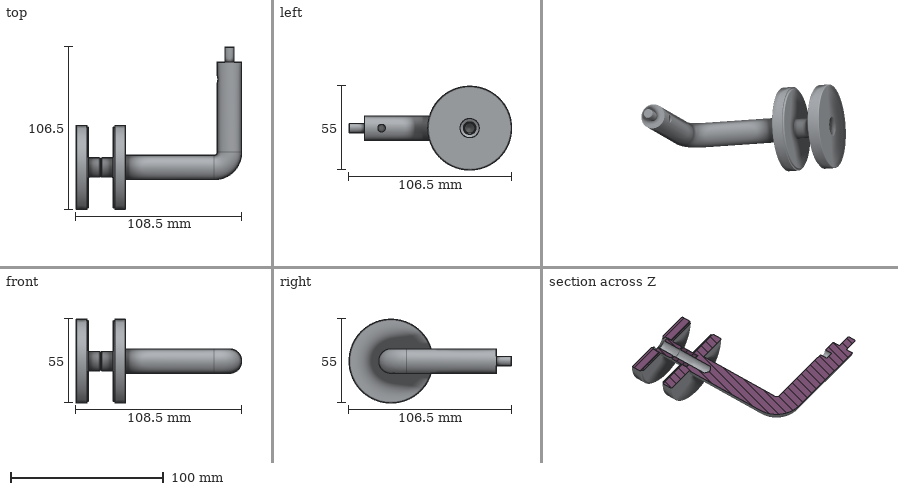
import cadquery as cq
import math

arm_radius = 8.0
bend_radius = 10.0
arm_reach = 108.5 - arm_radius
arm_end_y = 69.0
pin_radius = 3.0
pin_length = 10.0
pin_chamfer = 0.3
cross_hole_radius = 2.5
cross_hole_setback = 11.3
cross_hole_depth = 5.0

disc_diameter = 55.0
disc_radius = disc_diameter / 2
disc_thickness = 7.0
disc_edge_fillet = 0.5
clamp_length = 32.4

gasket_radius = 26.5
gasket_thickness = 1.1
gasket_edge_fillet = 0.5
sleeve_radius = 6.4
sleeve_gap = 0.5
sleeve_end_fillet = 1.0
sleeve_root_fillet = 0.4

countersink_radius = 6.3
countersink_depth = 1.7
screw_hole_radius = 4.1
plug_start_x = 3.5
bore_radius = 3.4
bore_end_x = 41.2
drill_point_angle = 118.0

inner_disc_x = clamp_length - disc_thickness
sleeve_end_x = (clamp_length - sleeve_gap) / 2


def x_cylinder(radius, start_x, end_x):
    """Cylinder on the X axis between two X positions."""
    return cq.Workplane("YZ", origin=(start_x, 0, 0)).circle(radius).extrude(end_x - start_x)


def make_cover_disc():
    """Outer disc with a countersunk hole and a socket for the gasket plug."""
    disc = x_cylinder(disc_radius, 0, disc_thickness).faces("<X").edges().fillet(disc_edge_fillet)
    countersink = (
        cq.Workplane("XY")
        .moveTo(0, 0)
        .lineTo(0, countersink_radius)
        .lineTo(countersink_depth, screw_hole_radius)
        .lineTo(countersink_depth, 0)
        .close()
        .revolve(360, (0, 0, 0), (1, 0, 0))
    )
    socket = x_cylinder(sleeve_radius, countersink_depth, disc_thickness)
    return disc.cut(countersink).cut(socket)


def make_gasket():
    """Washer on the cover disc with a plug pointing to -X and a sleeve pointing to +X."""
    face_x = disc_thickness + gasket_thickness
    washer = x_cylinder(gasket_radius, disc_thickness, face_x)
    sleeve = x_cylinder(sleeve_radius, face_x, sleeve_end_x)
    gasket = washer.union(sleeve)
    sleeve_rims = gasket.edges("%CIRCLE").edges(cq.selectors.RadiusNthSelector(0))
    gasket = sleeve_rims.edges("<X").fillet(sleeve_root_fillet)
    washer_rims = gasket.edges("%CIRCLE").edges(cq.selectors.RadiusNthSelector(-1))
    gasket = washer_rims.edges(">X").fillet(gasket_edge_fillet)
    gasket = gasket.faces(">X").edges().fillet(sleeve_end_fillet)
    plug = x_cylinder(sleeve_radius, plug_start_x, disc_thickness)
    return gasket.union(plug).cut(x_cylinder(bore_radius, plug_start_x, sleeve_end_x))


def make_bracket():
    """Inner disc, bent arm and end pin in one piece, with a blind bore for the screw."""
    disc = x_cylinder(disc_radius, inner_disc_x, clamp_length)
    disc = disc.faces(">X").edges().fillet(disc_edge_fillet)

    bend_offset = bend_radius * math.sqrt(0.5)
    bend_start_x = arm_reach - bend_radius
    path = (
        cq.Workplane("XY")
        .moveTo(inner_disc_x, 0)
        .lineTo(bend_start_x, 0)
        .threePointArc(
            (bend_start_x + bend_offset, bend_radius - bend_offset), (arm_reach, bend_radius)
        )
        .lineTo(arm_reach, arm_end_y)
    )
    arm = cq.Workplane("YZ", origin=(inner_disc_x, 0, 0)).circle(arm_radius).sweep(path)

    pin = cq.Workplane("XZ", origin=(arm_reach, arm_end_y, 0)).circle(pin_radius).extrude(-pin_length)
    pin = pin.faces(">Y").edges().chamfer(pin_chamfer)

    cross_hole = (
        cq.Workplane("YZ", origin=(arm_reach - arm_radius, arm_end_y - cross_hole_setback, 0))
        .circle(cross_hole_radius)
        .extrude(cross_hole_depth)
    )
    drill_point_length = bore_radius / math.tan(math.radians(drill_point_angle / 2))
    bore = (
        cq.Workplane("XY")
        .moveTo(inner_disc_x, 0)
        .lineTo(inner_disc_x, bore_radius)
        .lineTo(bore_end_x, bore_radius)
        .lineTo(bore_end_x + drill_point_length, 0)
        .close()
        .revolve(360, (0, 0, 0), (1, 0, 0))
    )
    socket = x_cylinder(sleeve_radius, inner_disc_x, clamp_length - plug_start_x)
    return disc.union(arm).union(pin).cut(cross_hole).cut(bore).cut(socket)


cover_disc = make_cover_disc()
outer_gasket = make_gasket()
inner_gasket = make_gasket().mirror("YZ", (clamp_length / 2, 0, 0))
bracket = make_bracket()

result = cq.Compound.makeCompound(
    [cover_disc.val(), outer_gasket.val(), inner_gasket.val(), bracket.val()]
)